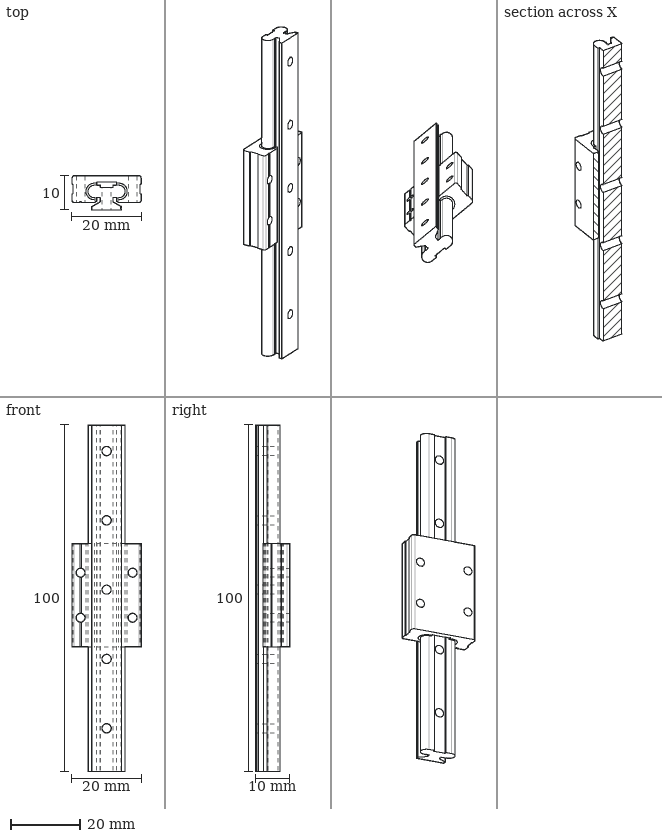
import cadquery as cq
mark_groove_width = 0.4
mark_groove_depth = 0.2
rail_mark_y = 0.6

rail_length = 100.0
rail_base_width = 8.7
rail_base_edge = 1.0
rail_base_chamfer_x = 0.1
rail_base_chamfer_y = 0.2
rail_neck_width = 3.8
rail_neck_start = 2.4
head_radius = 1.8
head_width = 10.7
head_center_y = 5.4
head_recess_width = 3.6
head_recess_depth = 0.6
undercut_width = 5.7
undercut_depth = 0.2
undercut_back_y = 3.6
rail_hole_diameter = 2.6
rail_hole_pitch = 20.0
rail_hole_count = 5
first_rail_hole_z = 12.5

liner_thickness = 0.6

carriage_width = 20.0
carriage_length = 29.8
carriage_start_z = 36.0
carriage_front_y = 2.2
carriage_back_y = 10.0
back_corner_radius = 0.8
front_corner_radius = 0.6
window_width = 5.6
window_back_y = 8.1
mouth_chamfer_x = 0.7
mouth_chamfer_y = 0.4
side_groove_depth = 0.3
side_groove_width = 3.0
side_groove_floor_width = 2.6
side_groove_center_y = 6.1
carriage_hole_diameter = 2.5
carriage_hole_spacing_x = 15.0
carriage_hole_spacing_z = 13.0

head_arc_x = head_width / 2 - head_radius
head_back_y = head_center_y + head_radius
head_front_y = head_center_y - head_radius
carriage_center_z = carriage_start_z + carriage_length / 2


def xy_plane(z):
    """Workplane parallel to XY at height z."""
    return cq.Workplane("XY").workplane(offset=z)


def holes_along_y(points, diameter):
    """Round cutters through the full depth; points are (x, z) pairs."""
    cutters = cq.Workplane("XZ").pushPoints(points).circle(diameter / 2)
    return cutters.extrude(-carriage_back_y)


def stadium(radius, z, length):
    """Bar around the rail head centre with rounded long sides of the given radius."""
    slot_length = 2 * (head_arc_x + radius)
    return xy_plane(z).center(0, head_center_y).slot2D(slot_length, 2 * radius).extrude(length)


def make_rail():
    neck_x = rail_neck_width / 2
    base_x = rail_base_width / 2
    undercut_x = undercut_width / 2
    recess_x = head_recess_width / 2
    half = (
        cq.Workplane("XY")
        .moveTo(0, 0)
        .lineTo(base_x - rail_base_chamfer_x, 0)
        .lineTo(base_x, rail_base_chamfer_y)
        .lineTo(base_x, rail_base_edge)
        .lineTo(neck_x, rail_neck_start)
        .lineTo(neck_x, undercut_back_y)
        .lineTo(undercut_x, undercut_back_y)
        .lineTo(undercut_x, undercut_back_y - undercut_depth)
        .lineTo(head_arc_x, head_front_y)
        .threePointArc((head_width / 2, head_center_y), (head_arc_x, head_back_y))
        .lineTo(recess_x, head_back_y)
        .lineTo(recess_x, head_back_y - head_recess_depth)
        .lineTo(0, head_back_y - head_recess_depth)
        .close()
        .extrude(rail_length)
    )
    rail = half.union(half.mirror("YZ"))
    mark_groove = cq.Workplane("XY").center(base_x, rail_mark_y)
    mark_groove = mark_groove.rect(2 * mark_groove_depth, mark_groove_width).extrude(rail_length)
    rail = rail.cut(mark_groove)

    hole_points = [(0, first_rail_hole_z + i * rail_hole_pitch) for i in range(rail_hole_count)]
    return rail.cut(holes_along_y(hole_points, rail_hole_diameter))


def make_liner(side):
    """Liner on one side of the rail head: side is -1 or +1."""
    outer = stadium(head_radius + liner_thickness, carriage_start_z, carriage_length)
    inner = stadium(head_radius, carriage_start_z, carriage_length)
    side_block = xy_plane(carriage_start_z).center(
        side * (window_width + carriage_width) / 4, head_center_y
    ).rect((carriage_width - window_width) / 2, carriage_back_y).extrude(carriage_length)
    return outer.cut(inner).intersect(side_block).cut(rail)


def make_side_groove(side):
    face_x = side * carriage_width / 2
    floor_x = face_x - side * side_groove_depth
    half_mouth = side_groove_width / 2
    half_floor = side_groove_floor_width / 2
    return xy_plane(carriage_start_z).polyline([
        (face_x, side_groove_center_y - half_mouth),
        (floor_x, side_groove_center_y - half_floor),
        (floor_x, side_groove_center_y + half_floor),
        (face_x, side_groove_center_y + half_mouth),
    ]).close().extrude(carriage_length)


def make_window():
    """Through opening for the rail, flared at the front face."""
    half_window = window_width / 2
    half_mouth = half_window + mouth_chamfer_x
    mouth_end_y = carriage_front_y + mouth_chamfer_y
    return xy_plane(carriage_start_z).polyline([
        (-half_mouth, carriage_front_y),
        (half_mouth, carriage_front_y),
        (half_window, mouth_end_y),
        (half_window, window_back_y),
        (-half_window, window_back_y),
        (-half_window, mouth_end_y),
    ]).close().extrude(carriage_length)


def make_carriage():
    depth = carriage_back_y - carriage_front_y
    body = xy_plane(carriage_start_z).center(0, carriage_front_y + depth / 2)
    body = body.rect(carriage_width, depth).extrude(carriage_length)
    body = body.edges("|Z and >Y").fillet(back_corner_radius)
    body = body.edges("|Z and <Y").fillet(front_corner_radius)
    body = body.cut(stadium(head_radius + liner_thickness, carriage_start_z, carriage_length))
    body = body.cut(make_window())
    for side in (-1, 1):
        body = body.cut(make_side_groove(side))

    hole_x = carriage_hole_spacing_x / 2
    hole_z = carriage_hole_spacing_z / 2
    hole_points = [(x, carriage_center_z + z) for x in (-hole_x, hole_x) for z in (-hole_z, hole_z)]
    body = body.cut(holes_along_y(hole_points, carriage_hole_diameter))

    mark_groove = xy_plane(carriage_start_z).center(-hole_x, carriage_front_y)
    mark_groove = mark_groove.rect(mark_groove_width, 2 * mark_groove_depth).extrude(carriage_length)
    return body.cut(mark_groove)


rail = make_rail()
carriage = make_carriage()
liners = [make_liner(side) for side in (-1, 1)]

result = cq.Compound.makeCompound([rail.val(), carriage.val(), *[liner.val() for liner in liners]])